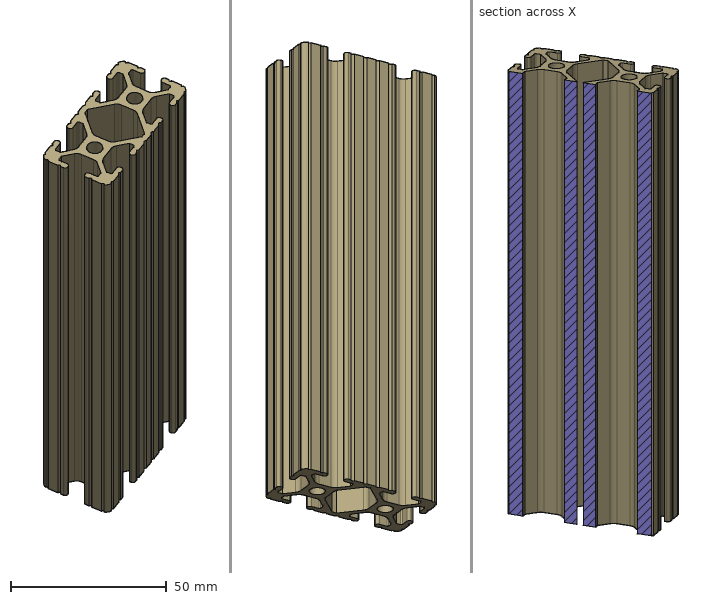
import cadquery as cq


length = 152.4
cell = length / 6
cell_count = 2
width = cell
depth = cell_count * cell
corner_radius = 2.6

face = cell / 2
slot_opening = 6.4
lip_thickness = 2.1
lip_radius = 0.9
pocket_half_width = 7.3
pocket_corner_radius = 0.5

hub_half_width = 4.7
hub_corner_radius = 2.9
bore_diameter = 5.2
web_thickness = 1.8
web_offset = web_thickness / 2 ** 0.5

lip_groove_offset = 5.8
corner_groove_offset = 10.4
groove_width = 0.9
groove_depth = 0.5
middle_groove_offsets = (2.3, 7.0)
middle_groove_width = 1.4

cell_centres = [(i - (cell_count - 1) / 2) * cell for i in range(cell_count)]
end_centre = cell_centres[-1]


def slot_cutter():
    """T-slot opening toward +X, with the cell axis at the origin."""
    underside = face - lip_thickness
    hub_corner = hub_half_width - web_offset
    pocket_foot = pocket_half_width + web_offset
    pocket = (
        cq.Workplane("XY")
        .polyline([
            (underside, -pocket_half_width),
            (underside, pocket_half_width),
            (pocket_foot, pocket_half_width),
            (hub_half_width, hub_corner),
            (hub_half_width, -hub_corner),
            (pocket_foot, -pocket_half_width),
        ])
        .close()
        .extrude(length)
    )
    pocket = pocket.faces("<X").edges("|Z").fillet(hub_corner_radius)
    pocket = pocket.faces(">X").edges("|Z").fillet(pocket_corner_radius)

    lip_tip = slot_opening / 2
    lip_start = lip_tip + lip_radius
    throat = (
        cq.Workplane("XY")
        .moveTo(underside, -lip_start)
        .radiusArc((underside + lip_radius, -lip_tip), lip_radius)
        .lineTo(face - lip_radius, -lip_tip)
        .radiusArc((face, -lip_start), lip_radius)
        .lineTo(face, lip_start)
        .radiusArc((face - lip_radius, lip_tip), lip_radius)
        .lineTo(underside + lip_radius, lip_tip)
        .radiusArc((underside, lip_start), lip_radius)
        .close()
        .extrude(length)
    )
    return pocket.union(throat)


def middle_cavity():
    """Eight-sided closed cavity between the two hubs, bounded by webs and side walls."""
    wall = face - lip_thickness
    hub_face = end_centre - hub_half_width
    hub_corner = hub_half_width - web_offset
    web_foot = end_centre - (wall + web_offset)
    corners = [
        (hub_corner, hub_face),
        (wall, web_foot),
        (wall, -web_foot),
        (hub_corner, -hub_face),
        (-hub_corner, -hub_face),
        (-wall, -web_foot),
        (-wall, web_foot),
        (-hub_corner, hub_face),
    ]
    cavity = cq.Workplane("XY").polyline(corners).close().extrude(length)
    return cavity.faces(">Y or <Y").edges("|Z").fillet(hub_corner_radius)


def groove_cutter(opening):
    """Cylinder that cuts a groove of the given opening into a +X face at X = 0."""
    radius = (opening ** 2 / 4 + groove_depth ** 2) / (2 * groove_depth)
    return cq.Workplane("XY").center(radius - groove_depth, 0).circle(radius).extrude(length)


def turned(shape, angle):
    """Shape turned about the Z axis."""
    return shape.rotate((0, 0, 0), (0, 0, 1), angle)


body = cq.Workplane("XY").rect(width, depth).extrude(length)
body = body.edges("|Z").fillet(corner_radius)

body = body.cut(middle_cavity())
bores = (
    cq.Workplane("XY")
    .pushPoints([(0, y) for y in cell_centres])
    .circle(bore_diameter / 2)
    .extrude(length)
)
body = body.cut(bores)

slot = slot_cutter()
groove = groove_cutter(groove_width)
middle_groove = groove_cutter(middle_groove_width)
side_groove_offsets = [end_centre + lip_groove_offset, end_centre + corner_groove_offset]
end_groove_offsets = [
    sign * offset for sign in (-1, 1) for offset in (lip_groove_offset, corner_groove_offset)
]

cutters = []
for slot_angle in (0, 90, 180):
    cutters.append(turned(slot, slot_angle).translate((0, end_centre, 0)))
for x in end_groove_offsets:
    cutters.append(turned(groove, 90).translate((x, depth / 2, 0)))
for side_angle, side_x in ((0, width / 2), (180, -width / 2)):
    for y in side_groove_offsets:
        cutters.append(turned(groove, side_angle).translate((side_x, y, 0)))
    for y in middle_groove_offsets:
        cutters.append(turned(middle_groove, side_angle).translate((side_x, y, 0)))

for half_turn in (0, 180):
    for cutter in cutters:
        body = body.cut(turned(cutter, half_turn))

result = body